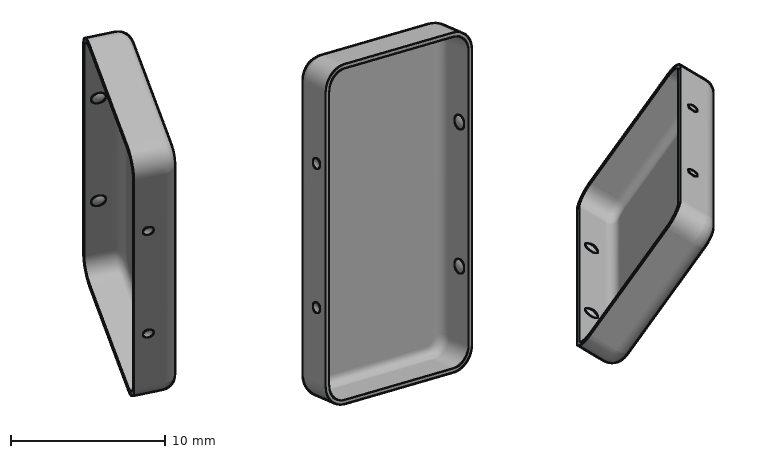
import cadquery as cq

WIDTH = 12.3
DEPTH = 3.0
HEIGHT = 23.6

WALL = 0.3
CORNER_RADIUS = 1.6
BACK_FILLET = 0.95

DETENT_SPACING = 10.0
DETENT_FROM_RIM = 0.95
DIMPLE_SPHERE_RADIUS = 0.45
DIMPLE_DEPTH = 0.19
BUMP_SPHERE_RADIUS = DIMPLE_SPHERE_RADIUS + WALL

RIM_Y = -DEPTH / 2


def rounded_block(inset):
    """Block with rounded corners and back edge, inset from every side but the rim."""
    return (
        cq.Workplane("XZ", origin=(0, RIM_Y, 0))
        .rect(WIDTH - 2 * inset, HEIGHT - 2 * inset)
        .extrude(-(DEPTH - inset))
        .edges("|Y")
        .fillet(CORNER_RADIUS - inset)
        .faces(">Y")
        .edges()
        .fillet(BACK_FILLET - inset)
    )


def ball(centre, radius):
    """Sphere with its seam turned toward +Y, clear of the side wall planes."""
    return cq.Workplane(cq.Plane(origin=centre, xDir=(0, 1, 0), normal=(0, 0, 1))).sphere(radius)


def detent_centres():
    """Centres of the detent spheres, which lie just outside the side walls."""
    x = WIDTH / 2 + DIMPLE_SPHERE_RADIUS - DIMPLE_DEPTH
    y = RIM_Y + DETENT_FROM_RIM
    z = DETENT_SPACING / 2
    return [(side * x, y, level * z) for side in (-1, 1) for level in (-1, 1)]


def make_tray():
    """Tray of uniform wall thickness, with the detents in its side walls."""
    body = rounded_block(0)
    cavity = rounded_block(WALL)
    for centre in detent_centres():
        body = body.cut(ball(centre, DIMPLE_SPHERE_RADIUS))
        cavity = cavity.cut(ball(centre, BUMP_SPHERE_RADIUS))
    return body.cut(cavity)


result = make_tray()